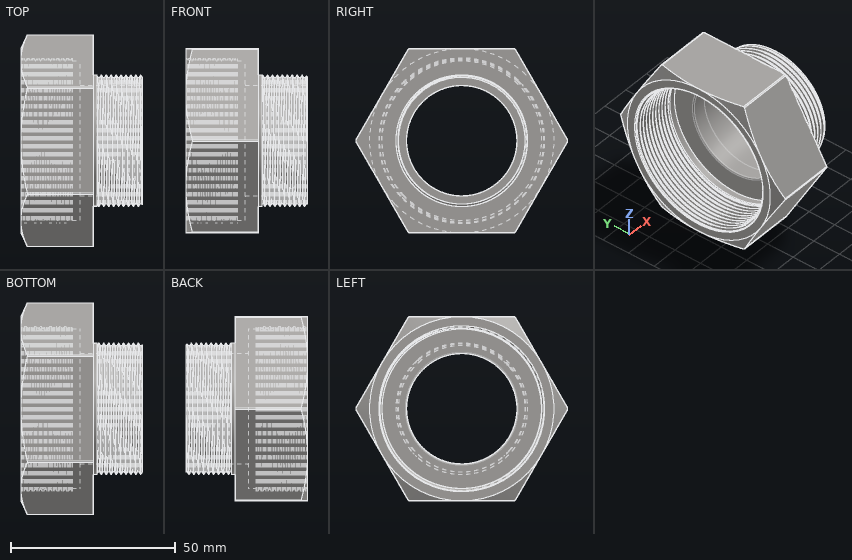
import cadquery as cq
import math

hex_flats = 56.0
hex_length = 22.0
corner_diameter = 64.4
corner_chamfer_angle = 25.0

pitch = 1.5
thread_depth = 0.76
crest_width = 0.06
flank_angle = 30.0
overlap = 0.1

total_length = 37.0
male_diameter = 40.0
collar_length = 1.2
male_thread_start = hex_length + collar_length
male_end_chamfer = 0.7
male_groove_start = 22.57

female_diameter = 50.0
female_mouth_diameter = 50.4
female_depth = 18.0
female_thread_length = 15.75
female_groove_start = -1.9
sleeve_diameter = 52.0
sleeve_seam_angle = 120.0
female_minor_diameter = female_diameter - 2 * thread_depth
bore_diameter = 33.5
bore_rounding = 0.4


def revolve_about_x(points):
    """Revolve a closed (X, radius) outline about the X axis."""
    return cq.Workplane("XY").polyline(points).close().revolve(360, (0, 0, 0), (1, 0, 0))


def cylinder(start, end, diameter):
    return cq.Workplane("YZ", origin=(start, 0, 0)).circle(diameter / 2).extrude(end - start)


def helical_groove(start, length, mouth_radius, bottom_radius):
    """Right-handed groove along X, widest at the mouth and starting on the +Z side."""
    outward = math.copysign(1, mouth_radius - bottom_radius)
    flank_slope = math.tan(math.radians(flank_angle))
    mouth_half_width = (pitch - crest_width) / 2
    bottom_half_width = mouth_half_width - thread_depth * flank_slope
    mouth_end = mouth_radius + outward * overlap
    mouth_end_half_width = mouth_half_width + overlap * flank_slope
    helices = []
    for radius, offset in (
        (bottom_radius, -bottom_half_width),
        (mouth_end, -mouth_end_half_width),
        (mouth_end, mouth_end_half_width),
        (bottom_radius, bottom_half_width),
    ):
        helices.append(cq.Wire.makeHelix(pitch, length, radius).translate(cq.Vector(0, 0, offset)))
    faces = [cq.Face.makeRuledSurface(helices[i - 1], helices[i]) for i in range(len(helices))]
    for end in (0, 1):
        corners = [helix.positionAt(end) for helix in helices]
        faces.append(cq.Face.makeFromWires(cq.Wire.makePolygon(corners, close=True)))
    groove = cq.Workplane("XY").add(cq.Solid.makeSolid(cq.Shell.makeShell(faces)))
    groove = groove.rotate((0, 0, 0), (0, 1, 0), 90).rotate((0, 0, 0), (1, 0, 0), 180)
    return groove.translate((start, 0, 0))


def hex_body():
    across_corners = hex_flats / math.cos(math.pi / 6)
    prism = cq.Workplane("YZ").polygon(6, across_corners).extrude(hex_length)
    face_radius = hex_flats / 2
    corner_radius = corner_diameter / 2
    chamfer_length = (corner_radius - face_radius) * math.tan(math.radians(corner_chamfer_angle))
    envelope = revolve_about_x([
        (0, 0),
        (0, face_radius),
        (chamfer_length, corner_radius),
        (hex_length, corner_radius),
        (hex_length, 0),
    ])
    return prism.intersect(envelope)


def male_thread():
    radius = male_diameter / 2
    blank = revolve_about_x([
        (male_thread_start, 0),
        (male_thread_start, radius),
        (total_length - male_end_chamfer, radius),
        (total_length, radius - male_end_chamfer),
        (total_length, 0),
    ])
    groove = helical_groove(
        male_groove_start,
        total_length + pitch - male_groove_start,
        radius,
        radius - thread_depth,
    )
    return blank.cut(groove)


def female_thread():
    """Threaded sleeve that lines the mouth of the socket."""
    minor_radius = female_minor_diameter / 2
    mouth_radius = female_mouth_diameter / 2
    sleeve_radius = sleeve_diameter / 2
    sleeve = revolve_about_x([
        (0, sleeve_radius),
        (0, mouth_radius),
        (mouth_radius - minor_radius, minor_radius),
        (female_thread_length, minor_radius),
        (female_thread_length, sleeve_radius),
    ])
    sleeve = sleeve.rotate((0, 0, 0), (1, 0, 0), sleeve_seam_angle)
    groove = helical_groove(
        female_groove_start,
        female_thread_length + pitch - female_groove_start,
        minor_radius,
        female_diameter / 2,
    )
    return sleeve.cut(groove)


def bore():
    """Through bore that flares with a rounded edge into the socket floor."""
    radius = bore_diameter / 2
    rounding_middle = bore_rounding * (1 - math.sin(math.pi / 4))
    outline = (
        cq.Workplane("XY")
        .moveTo(female_depth, 0)
        .lineTo(female_depth, radius + bore_rounding)
        .threePointArc(
            (female_depth + rounding_middle, radius + rounding_middle),
            (female_depth + bore_rounding, radius),
        )
        .lineTo(total_length, radius)
        .lineTo(total_length, 0)
        .close()
    )
    return outline.revolve(360, (0, 0, 0), (1, 0, 0))


def female_cavity():
    """Seat for the threaded sleeve and the plain socket behind it, with the seam of the sleeve."""
    seat = revolve_about_x([
        (0, 0),
        (0, sleeve_diameter / 2),
        (female_thread_length, sleeve_diameter / 2),
        (female_thread_length, female_minor_diameter / 2),
        (female_depth, female_minor_diameter / 2),
        (female_depth, 0),
    ])
    return seat.rotate((0, 0, 0), (1, 0, 0), sleeve_seam_angle)


collar = cylinder(hex_length, male_thread_start, male_diameter)
body = hex_body().union(collar).cut(female_cavity()).cut(bore())
result = body.union(female_thread()).union(male_thread().cut(bore()))